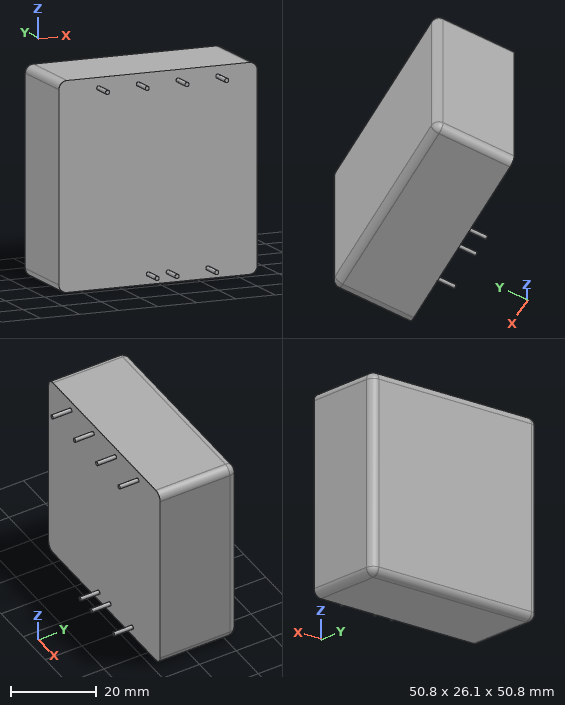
import cadquery as cq

side = 50.8
total_depth = 26.05
pin_length = 5.1
body_depth = total_depth - pin_length
corner_radius = 2.05

pitch = 2.55
pin_diameter = 1.0
row_height = side / 2 - pitch
upper_row_steps = (-6, -2, 2, 6)
lower_row_steps = (-1, 1, 5)


def make_body():
    """Block with its pin face on Y = 0, rounded everywhere but around that face."""
    block = cq.Workplane("XY").box(side, body_depth, side, centered=(True, False, True))
    block = block.edges("|Y").fillet(corner_radius)
    return block.faces(">Y").edges().fillet(corner_radius)


def make_pins(grid_steps, height):
    """Row of round pins pointing toward -Y at the given height."""
    positions = [(step * pitch, height) for step in grid_steps]
    return (
        cq.Workplane("XZ")
        .pushPoints(positions)
        .circle(pin_diameter / 2)
        .extrude(pin_length)
    )


upper_pins = make_pins(upper_row_steps, row_height)
lower_pins = make_pins(lower_row_steps, -row_height)
result = make_body().union(upper_pins).union(lower_pins)